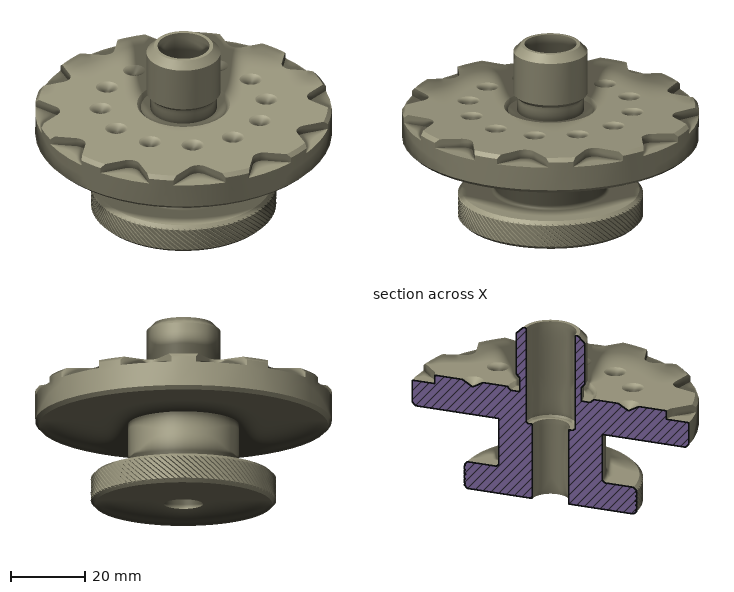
import cadquery as cq
import math

overall_height = 50.0
knob_dia = 50.0
knob_height = 8.0
hub_dia = 30.0
disc_dia = 80.0
disc_bottom = 22.0
disc_top = 32.0

post_dia = 20.0
neck_dia = 18.0
post_bottom = 36.0
post_chamfer = 2.0

edge_break = post_chamfer / 2
recess_floor_dia = 23.0

through_dia = 10.5
counterbore_dia = 14.0
counterbore_bottom = disc_bottom
counterbore_bevel = 0.5

disc_divisions = 12
notch_depth = 2.5
notch_tip_dia = 67.0
notch_tip_fillet = 3.0
dimple_circle_dia = 45.0
dimple_dia = 6.0
dimple_angle = 120.0

groove_count = 100
groove_width = 0.5
groove_depth = 0.4
helix_angle = 49.0


def make_body():
    """Revolved knob, hub, disc and post, without the bore."""
    knob_r = knob_dia / 2
    hub_r = hub_dia / 2
    disc_r = disc_dia / 2
    recess_r = recess_floor_dia / 2
    neck_r = neck_dia / 2
    post_r = post_dia / 2
    neck_step = post_r - neck_r
    fillet_offset = edge_break * (1 - math.sqrt(0.5))
    recess_floor = disc_top - edge_break
    profile = (
        cq.Workplane("XZ")
        .lineTo(knob_r - edge_break, 0)
        .lineTo(knob_r, edge_break)
        .lineTo(knob_r, knob_height - edge_break)
        .lineTo(knob_r - edge_break, knob_height)
        .lineTo(hub_r + edge_break, knob_height)
        .threePointArc(
            (hub_r + fillet_offset, knob_height + fillet_offset),
            (hub_r, knob_height + edge_break),
        )
        .lineTo(hub_r, disc_bottom)
        .lineTo(disc_r - edge_break, disc_bottom)
        .lineTo(disc_r, disc_bottom + edge_break)
        .lineTo(disc_r, disc_top - edge_break)
        .lineTo(disc_r - edge_break, disc_top)
        .lineTo(recess_r + edge_break, disc_top)
        .lineTo(recess_r, recess_floor)
        .lineTo(neck_r, recess_floor)
        .lineTo(neck_r, post_bottom - neck_step)
        .lineTo(post_r, post_bottom)
        .lineTo(post_r, overall_height - post_chamfer)
        .lineTo(post_r - post_chamfer, overall_height)
        .lineTo(0, overall_height)
        .close()
    )
    return profile.revolve(360, (0, 0, 0), (0, 1, 0))


def make_bore():
    """Through hole opening into a wider counterbore with a bevelled floor."""
    through_r = through_dia / 2
    counterbore_r = counterbore_dia / 2
    profile = (
        cq.Workplane("XZ")
        .lineTo(through_r, 0)
        .lineTo(through_r, counterbore_bottom)
        .lineTo(counterbore_r - counterbore_bevel, counterbore_bottom)
        .lineTo(counterbore_r, counterbore_bottom + counterbore_bevel)
        .lineTo(counterbore_r, overall_height)
        .lineTo(0, overall_height)
        .close()
    )
    return profile.revolve(360, (0, 0, 0), (0, 1, 0))


def around_disc(tool):
    """Copies of a tool at every division of the disc."""
    step = 360 / disc_divisions
    return [tool.rotate((0, 0, 0), (0, 0, 1), i * step) for i in range(disc_divisions)]


def make_notch():
    """Right-angled notch in the disc rim, with its tip rounded."""
    vertex = notch_tip_dia / 2 - notch_tip_fillet * (math.sqrt(2) - 1)
    length = disc_dia / 2 - vertex + edge_break
    return (
        cq.Workplane("XY", origin=(vertex, 0, disc_top - notch_depth))
        .polyline([(0, 0), (length, -length), (length, length)])
        .close()
        .extrude(notch_depth)
        .edges("|Z and <X")
        .fillet(notch_tip_fillet)
        .val()
    )


def make_dimple():
    """Conical drill spot in the top of the disc."""
    depth = dimple_dia / 2 / math.tan(math.radians(dimple_angle / 2))
    centre = cq.Vector(dimple_circle_dia / 2, 0, disc_top)
    return cq.Solid.makeCone(dimple_dia / 2, 0, depth, centre, cq.Vector(0, 0, -1))


def make_knurl_grooves():
    """Helical V grooves that run the full height of the knob rim."""
    knob_r = knob_dia / 2
    root_r = knob_r - groove_depth
    mouth_r = knob_r + groove_depth
    half_mouth = groove_width
    twist = math.degrees(knob_height * math.tan(math.radians(helix_angle)) / knob_r)
    groove = (
        cq.Workplane("XY")
        .polyline([(root_r, 0), (mouth_r, -half_mouth), (mouth_r, half_mouth)])
        .close()
        .twistExtrude(knob_height, -twist)
        .val()
    )
    step = 360 / groove_count
    return [groove.rotate((0, 0, 0), (0, 0, 1), i * step) for i in range(groove_count)]


cutters = around_disc(make_notch()) + around_disc(make_dimple()) + make_knurl_grooves()
body = make_body().cut(make_bore()).val()
result = cq.Workplane("XY").newObject([body.cut(*cutters)])